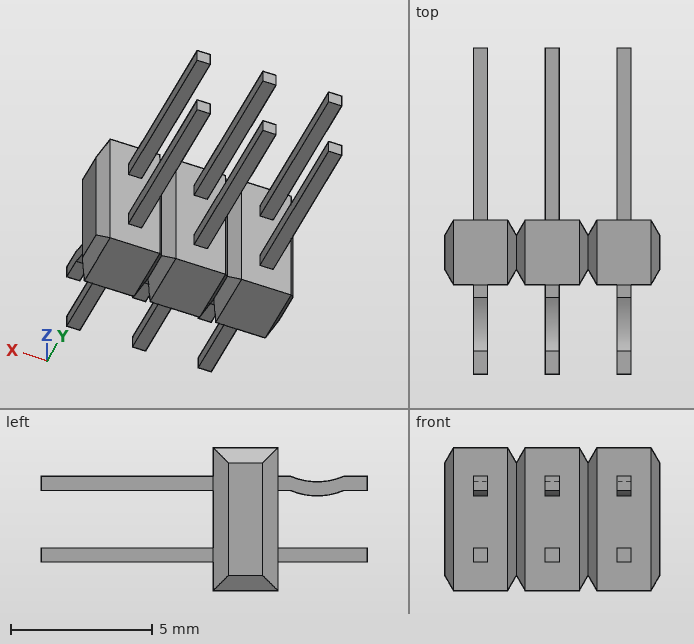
import cadquery as cq


column_count = 3
row_count = 2

total_length = 11.56
total_height = 5.07
total_width = 7.62
column_pitch = total_width / column_count
row_pitch = total_height / row_count

block_depth = 2.3
bevel_width = 0.31
bevel_inset = 0.54

pin_size = 0.51
front_reach = 3.17

bend_offset = 0.44
bend_length = 1.9
bend_drop = 0.2

block_front = -block_depth / 2
pin_front = block_front - front_reach
pin_back = pin_front + total_length
bend_start = block_front - bend_offset
bend_middle = bend_start - bend_length / 2
bend_end = bend_start - bend_length


def centred_position(index, count, pitch):
    """Coordinate of one item in an evenly spaced row centred on zero."""
    return (index - (count - 1) / 2) * pitch


def bevelled_end(side):
    """Truncated pyramid that closes the block on the side given by +1 or -1."""
    core_face = column_pitch / 2 - bevel_width
    return (
        cq.Workplane("YZ", origin=(side * core_face, 0, 0))
        .rect(block_depth, total_height)
        .workplane(offset=side * bevel_width)
        .rect(block_depth - 2 * bevel_inset, total_height - 2 * bevel_inset)
        .loft(ruled=True)
    )


def insulator_block():
    core = cq.Workplane("XY").box(column_pitch - 2 * bevel_width, block_depth, total_height)
    return core.union(bevelled_end(-1)).union(bevelled_end(1))


def straight_pin(z):
    return (
        cq.Workplane("YZ", origin=(0, (pin_front + pin_back) / 2, z))
        .rect(total_length, pin_size)
        .extrude(pin_size / 2, both=True)
    )


def bent_pin(z):
    """Pin whose top and bottom edges follow the same downward arc."""
    top = pin_size / 2
    bottom = -pin_size / 2
    return (
        cq.Workplane("YZ", origin=(0, 0, z))
        .moveTo(pin_back, top)
        .lineTo(bend_start, top)
        .threePointArc((bend_middle, top - bend_drop), (bend_end, top))
        .lineTo(pin_front, top)
        .lineTo(pin_front, bottom)
        .lineTo(bend_end, bottom)
        .threePointArc((bend_middle, bottom - bend_drop), (bend_start, bottom))
        .lineTo(pin_back, bottom)
        .close()
        .extrude(pin_size / 2, both=True)
    )


bottom_row_z = centred_position(0, row_count, row_pitch)
top_row_z = centred_position(1, row_count, row_pitch)
column = insulator_block().union(straight_pin(bottom_row_z)).union(bent_pin(top_row_z))

result = cq.Workplane("XY")
for column_index in range(column_count):
    column_x = centred_position(column_index, column_count, column_pitch)
    result = result.union(column.translate((column_x, 0, 0)))